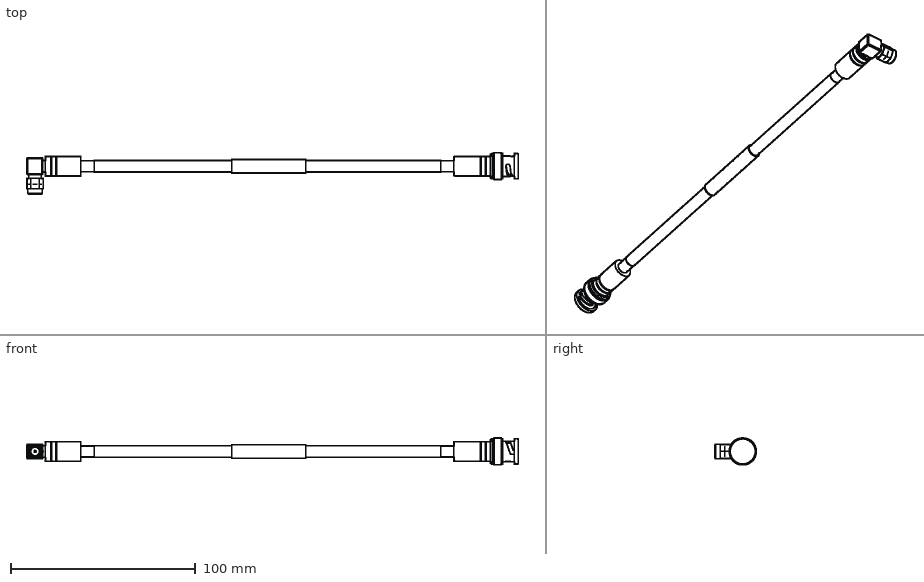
import cadquery as cq
import math

overall_length = 266.0
cable_radius = 3.2
collar_radius = cable_radius - 0.13
sleeve_radius = 3.7
sleeve_start = 111.0
sleeve_end = 151.0
collar_length = 7.2

ferrule_radius = 5.3
left_ferrule_start = 10.0
left_ferrule_end = 29.3
right_ferrule_start = 231.0
right_ferrule_end = 250.8
ferrule_bevel_length = 0.8
ferrule_bevel_depth = 0.13
left_collar_start = left_ferrule_end
right_collar_start = right_ferrule_start - collar_length
stub_radius = 4.3
stub_length = 7.0
rib_radius = 5.0
rib_width = 0.5
rib_pitch = 2.7
rib_count = 2
left_rib_offset = 3.0
right_rib_offset = 2.0

block_length = 8.8
block_width = 9.3
block_height = 8.0
block_chamfer = 0.5
neck_radius = 3.2
branch_x = 4.5
branch_radius = 3.5
core_radius = 2.5
core_end = 14.0
pin_radius = 0.5

nut_start = 6.6
nut_hex_end = 12.2
nut_end = 15.2
nut_sides = 6
nut_flats = 7.7
nut_skirt_radius = 4.0
nut_chamfer = 0.5
nut_bore_floor = 9.8
nut_bore_radius = 3.2

ring_diameter = 14.5
ring_radius = ring_diameter / 2
rim_radius = 7.0
rim_cone_radius = 6.5
rim_cone_length = 1.0
ring_start = 253.0
ring_bevel = 0.5
ring_end = 256.7
rim_end = 257.5
barrel_radius = 5.5
flange_start = 263.8
flange_bevel_length = 0.5
flange_bevel_depth = 0.13

track_floor_radius = 4.5
track_width = 2.0
track_entry_x = 262.5
track_entry_z = -0.5
track_end_x = 260.5
track_count = 2


def x_cylinder(start, end, radius):
    """Solid cylinder on the cable axis."""
    return cq.Workplane("YZ", origin=(start, 0, 0)).circle(radius).extrude(end - start)


def branch_cylinder(start, end, radius):
    """Solid cylinder on the branch axis, between two distances towards -Y."""
    return cq.Workplane("XZ", origin=(branch_x, -start, 0)).circle(radius).extrude(end - start)


def make_stub(mouth, direction, first_rib):
    """Ribbed stub that reaches from a ferrule's connector end into the ferrule."""
    def section(near, far, radius):
        ends = sorted((mouth + direction * near, mouth + direction * far))
        return x_cylinder(ends[0], ends[1], radius)

    stub = section(0, stub_length, stub_radius)
    for index in range(rib_count):
        offset = first_rib + index * rib_pitch
        stub = stub.union(section(offset, offset + rib_width, rib_radius))
    return stub


def make_sleeve():
    return x_cylinder(sleeve_start, sleeve_end, sleeve_radius).cut(
        x_cylinder(sleeve_start, sleeve_end, cable_radius)
    )


def make_collar(start):
    return x_cylinder(start, start + collar_length, collar_radius)


def make_left_ferrule(stub):
    return x_cylinder(left_ferrule_start, left_ferrule_end, ferrule_radius).cut(stub)


def make_right_ferrule(stub):
    ferrule = x_cylinder(right_ferrule_start, right_ferrule_end, ferrule_radius)
    ferrule = ferrule.faces("<X").chamfer(ferrule_bevel_length, ferrule_bevel_depth)
    return ferrule.cut(stub)


def make_elbow(stub):
    block = cq.Workplane("XY").box(block_length, block_width, block_height, centered=(False, True, True))
    block = block.edges().chamfer(block_chamfer)
    neck = x_cylinder(block_length / 2, left_ferrule_start, neck_radius)
    branch = branch_cylinder(0, nut_bore_floor, branch_radius)
    core = branch_cylinder(0, core_end, core_radius)
    pin = branch_cylinder(0, nut_end, pin_radius)
    return block.union(neck).union(stub).union(branch).union(core).union(pin)


def make_nut():
    corner_diameter = nut_flats / math.cos(math.pi / nut_sides)
    hexagon = (
        cq.Workplane("XZ", origin=(branch_x, -nut_start, 0))
        .polygon(nut_sides, corner_diameter)
        .extrude(nut_hex_end - nut_start)
    )
    skirt = branch_cylinder(nut_hex_end, nut_end, nut_skirt_radius).faces("<Y").chamfer(nut_chamfer)
    neck_hole = branch_cylinder(nut_start, nut_bore_floor, branch_radius)
    bore = branch_cylinder(nut_bore_floor, nut_end, nut_bore_radius)
    return hexagon.union(skirt).cut(neck_hole).cut(bore)


def make_track():
    """Groove from the flange along the -Y side, then slanting up to a round seat on the +Z side."""
    rise = barrel_radius - track_entry_z
    run = track_end_x - track_entry_x
    slot = (
        cq.Workplane("XZ")
        .center((track_entry_x + track_end_x) / 2, (track_entry_z + barrel_radius) / 2)
        .slot2D(math.hypot(rise, run) + track_width, track_width, math.degrees(math.atan2(rise, run)))
        .extrude(barrel_radius)
    )
    lead_in = (
        cq.Workplane("XZ", origin=(track_entry_x, 0, track_entry_z))
        .rect(2 * (flange_start - track_entry_x), track_width)
        .extrude(barrel_radius)
        .intersect(x_cylinder(track_entry_x, flange_start, barrel_radius))
    )
    seat = cq.Workplane("XY").center(track_end_x, 0).circle(track_width / 2).extrude(barrel_radius)
    floor = x_cylinder(rim_end, flange_start, track_floor_radius)
    return slot.union(lead_in).union(seat).cut(floor)


def make_bayonet(stub):
    rim_start = right_ferrule_end
    profile = [
        (rim_start, 0),
        (rim_start, rim_cone_radius),
        (rim_start + rim_cone_length, rim_radius),
        (ring_start - ring_bevel, rim_radius),
        (ring_start, ring_radius),
        (ring_end, ring_radius),
        (ring_end, rim_radius),
        (rim_end, rim_radius),
        (rim_end, barrel_radius),
        (flange_start, barrel_radius),
        (flange_start, rim_radius),
        (overall_length - flange_bevel_length, rim_radius),
        (overall_length, rim_radius - flange_bevel_depth),
        (overall_length, 0),
    ]
    coupling = cq.Workplane("XY").polyline(profile).close().revolve(360, (0, 0, 0), (1, 0, 0))
    for index in range(track_count):
        coupling = coupling.cut(make_track().rotate((0, 0, 0), (1, 0, 0), index * 360 / track_count))
    return coupling.union(stub)


left_stub = make_stub(left_ferrule_start, 1, left_rib_offset)
right_stub = make_stub(right_ferrule_end, -1, right_rib_offset)

cable = x_cylinder(left_collar_start + collar_length, right_collar_start, cable_radius)
sleeve = make_sleeve()
collars = [make_collar(start) for start in (left_collar_start, right_collar_start)]
left_ferrule = make_left_ferrule(left_stub)
right_ferrule = make_right_ferrule(right_stub)
elbow = make_elbow(left_stub)
nut = make_nut()
bayonet = make_bayonet(right_stub)

result = cq.Compound.makeCompound([
    cable.val(),
    sleeve.val(),
    *[collar.val() for collar in collars],
    left_ferrule.val(),
    right_ferrule.val(),
    elbow.val(),
    nut.val(),
    bayonet.val(),
])